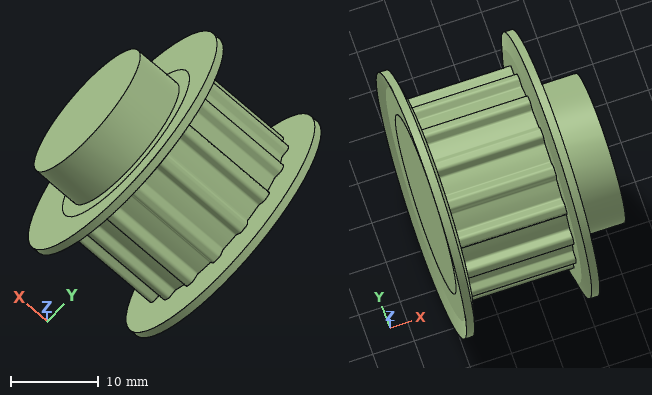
import cadquery as cq
import math


flange_radius = 16.0
flange_flat_radius = 14.0
flange_thickness = 1.0
flange_bend_angle = 15.0
flange_dish = (flange_radius - flange_flat_radius) * math.tan(math.radians(flange_bend_angle))

tooth_length = 13.0
shoulder_radius = 10.75
hub_radius = 9.0
hub_length = 6.0

tooth_count = 16
tooth_pitch_angle = 2 * math.pi / tooth_count
tip_radius = 12.1
root_radius = 11.03
flank_angle = math.radians(20.0)
flank_distance = 4.71
tip_fillet = 0.48
root_fillet = 0.32

core_start = flange_dish
teeth_start = core_start + flange_thickness
teeth_end = teeth_start + tooth_length
core_end = teeth_end + flange_thickness
flanges_end = core_end + flange_dish


def polar(radius, angle):
    return (radius * math.cos(angle), radius * math.sin(angle))


def flank_fillet(circle_radius, fillet_radius, side):
    """Arc blending a flank into the tip circle (side = -1) or the root circle (side = +1).

    Returns its end on the circle, its middle and its end on the flank, as (radius, angle)
    from the pulley axis and the tooth's centre line.
    """
    centre_radius = circle_radius + side * fillet_radius
    centre_angle = math.asin((flank_distance + side * fillet_radius) / centre_radius) - flank_angle
    centre_x, centre_y = polar(centre_radius, centre_angle)

    flank_normal = math.pi / 2 - flank_angle
    to_circle = centre_angle if side < 0 else centre_angle + math.pi
    to_flank = flank_normal if side < 0 else flank_normal + math.pi

    arc = []
    for direction in (to_circle, (to_circle + to_flank) / 2, to_flank):
        offset_x, offset_y = polar(fillet_radius, direction)
        x = centre_x + offset_x
        y = centre_y + offset_y
        arc.append((math.hypot(x, y), math.atan2(y, x)))
    return arc


def make_teeth():
    tip_end, tip_middle, flank_top = flank_fillet(tip_radius, tip_fillet, -1)
    root_end, root_middle, flank_bottom = flank_fillet(root_radius, root_fillet, 1)

    def place(point, tooth_angle, mirror):
        radius, angle = point
        return polar(radius, tooth_angle + mirror * angle)

    outline = cq.Workplane("YZ").workplane(offset=teeth_start)
    outline = outline.moveTo(*place(root_end, 0, -1))
    for index in range(tooth_count):
        here = index * tooth_pitch_angle
        outline = (
            outline
            .threePointArc(place(root_middle, here, -1), place(flank_bottom, here, -1))
            .lineTo(*place(flank_top, here, -1))
            .threePointArc(place(tip_middle, here, -1), place(tip_end, here, -1))
            .threePointArc(polar(tip_radius, here), place(tip_end, here, 1))
            .threePointArc(place(tip_middle, here, 1), place(flank_top, here, 1))
            .lineTo(*place(flank_bottom, here, 1))
            .threePointArc(place(root_middle, here, 1), place(root_end, here, 1))
            .threePointArc(
                polar(root_radius, here + tooth_pitch_angle / 2),
                place(root_end, here + tooth_pitch_angle, -1),
            )
        )
    return outline.close().extrude(tooth_length)


def cylinder(start, end, radius):
    return cq.Workplane("YZ").workplane(offset=start).circle(radius).extrude(end - start)


def make_pulley():
    shoulders = cylinder(core_start, core_end, shoulder_radius)
    hub = cylinder(core_end, core_end + hub_length, hub_radius)
    return make_teeth().union(shoulders).union(hub)


def make_flange(rim_x, inward):
    """Dished flange with its outer rim edge at rim_x; inward is the X direction to the teeth."""
    flat_outer = rim_x + inward * flange_dish
    flat_inner = flat_outer + inward * flange_thickness
    rim_inner = rim_x + inward * flange_thickness
    section = [
        (flat_outer, shoulder_radius),
        (flat_outer, flange_flat_radius),
        (rim_x, flange_radius),
        (rim_inner, flange_radius),
        (flat_inner, flange_flat_radius),
        (flat_inner, shoulder_radius),
    ]
    return cq.Workplane("XY").polyline(section).close().revolve(360, (0, 0, 0), (1, 0, 0))


pulley = make_pulley()
flanges = [make_flange(0, 1), make_flange(flanges_end, -1)]

result = cq.Compound.makeCompound([pulley.val(), *[flange.val() for flange in flanges]])